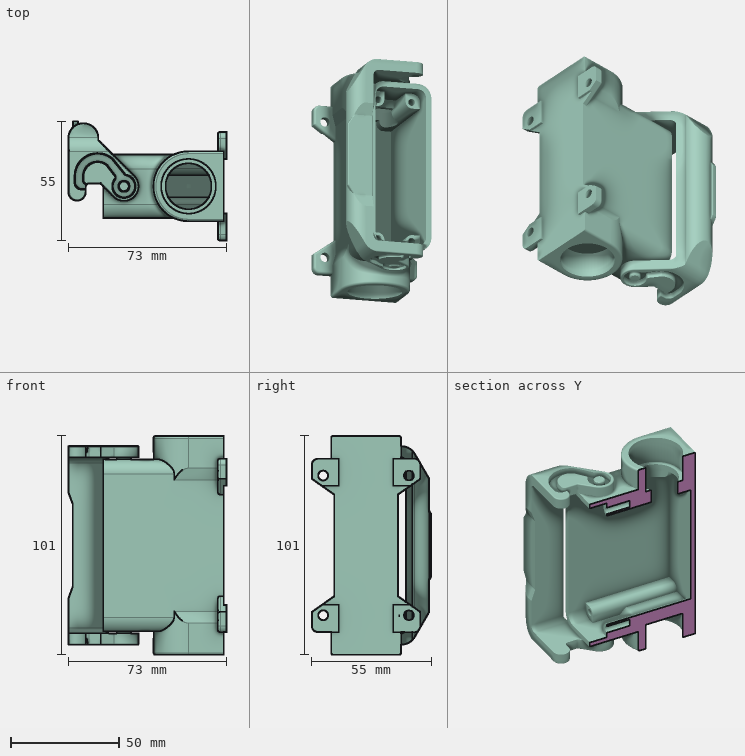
import cadquery as cq
import math


shell_front = 16.1
shell_back = 71.8
shell_half_width = 14.7
shell_half_height = 39.7
shell_corner = 6.6
wall = 2.5
cavity_half_width = shell_half_width - wall
cavity_half_height = shell_half_height - wall
cavity_back = shell_back - wall

port_x = 55.4
port_radius = 16.2
port_end = 50.5
port_foot = 30.3
port_flare_height = 5.5
port_edge_round = 1.0
bore_radius = 12.6
ledge_radius = 10.6
ledge_drop = 3.0
ledge_bottom = cavity_half_height - ledge_drop

boss_front = 25.0
boss_size = 7.1
boss_round = 3.2
screw_y = 8.1
screw_z = 33.0
screw_radius = 1.6
screw_depth = 12.1

foot_front = 69.0
foot_back = 73.0
foot_half_width = 25.0
foot_inner_y = 12.5
foot_top = 40.0
foot_corner = 2.8
foot_side_bottom = 30.7
foot_root_bottom = 23.4
foot_pad_bottom = 27.5
foot_edge_round = 1.0
foot_hole_y = 19.8
foot_hole_z = 32.2
foot_hole_radius = 2.2

lever_top = 45.9
lever_inner_z = 40.6
lever_inner_y = 18.4
lever_inner_round = 2.5
lever_bend_y = 16.1
lever_bend_radius = 7.5
lever_slope = math.radians(60)
bar_radius = 7.0
bar_y = 22.1
bar_end_y = bar_y + bar_radius
lever_edge_round = 0.5
hook_radius = 4.0
hook_width = 2 * hook_radius
hook_y = -2.6
notch_y = 1.2
notch_round = 1.4
pivot_x = 25.7
pivot_radius = 6.8

pin_radius = 2.6
pin_chamfer = 0.4
washer_radius = 3.3

recess_floor = 43.0
recess_pivot_radius = 5.5
recess_x = 13.5
recess_y = 4.6
recess_outer = 10.7
recess_inner = 6.5
recess_turn = math.radians(40)
recess_bottom = -1.5
recess_corner = 3.2
recess_draft = 7
recess_outer_end = (26.9, 4.8)
recess_inner_end = (21.6, 4.4)

grip_depth = 2.0
grip_half_flat = 19.0
grip_half_length = 24.5
grip_tab_thickness = 2.6
grip_tab_y = 30.0
grip_tab_half_top = 14.5
grip_tab_chamfer = 0.3

COS45 = math.sqrt(0.5)


def both_z(part):
    """The part together with its mirror image below z = 0."""
    return part.union(part.mirror("XY"))


def all_corners(part):
    """The part repeated in all four Y/Z quadrants."""
    return both_z(part.union(part.mirror("XZ")))


def rounded_prism(x0, x1, half_width, half_height, corner):
    prism = cq.Workplane("YZ", origin=(x0, 0, 0)).rect(2 * half_width, 2 * half_height).extrude(x1 - x0)
    return prism.edges("|X").fillet(corner)


def cylinder_z(x, y, radius, z0, z1):
    return cq.Workplane("XY", origin=(x, y, z0)).circle(radius).extrude(z1 - z0)


def port_body():
    """D-shaped port whose sides flare outwards from the shell walls."""
    body = (
        cq.Workplane("XY", origin=(0, 0, port_foot))
        .moveTo(shell_back, -port_radius)
        .lineTo(port_x, -port_radius)
        .threePointArc((port_x - port_radius, 0), (port_x, port_radius))
        .lineTo(shell_back, port_radius)
        .close()
        .extrude(port_end - port_foot)
    )
    body = body.faces(">Z").edges("not >X").fillet(port_edge_round)
    flare = (
        cq.Workplane("YZ")
        .polyline([
            (-shell_half_width, port_foot),
            (shell_half_width, port_foot),
            (port_radius, port_foot + port_flare_height),
            (port_radius, port_end),
            (-port_radius, port_end),
            (-port_radius, port_foot + port_flare_height),
        ])
        .close()
        .extrude(shell_back)
    )
    return body.intersect(flare)


def port_ledge():
    """Thickened wall inside the cavity below a port, with a sloping front."""
    ledge_start = port_x - port_radius
    return (
        cq.Workplane("XZ", origin=(0, cavity_half_width, 0))
        .polyline([
            (ledge_start, cavity_half_height),
            (ledge_start + ledge_drop, ledge_bottom),
            (cavity_back, ledge_bottom),
            (cavity_back, cavity_half_height),
        ])
        .close()
        .extrude(2 * cavity_half_width)
    )


def screw_boss():
    boss = (
        cq.Workplane("XY")
        .box(cavity_back - boss_front, boss_size, boss_size, centered=False)
        .translate((boss_front, cavity_half_width - boss_size, cavity_half_height - boss_size))
    )
    return boss.edges("|X and <Y and <Z").fillet(boss_round)


def housing():
    shell = rounded_prism(shell_front, shell_back, shell_half_width, shell_half_height, shell_corner)
    cavity_corner = shell_corner - wall
    cavity = rounded_prism(shell_front, cavity_back, cavity_half_width, cavity_half_height, cavity_corner)
    fittings = all_corners(screw_boss()).union(both_z(port_ledge()))
    body = shell.union(both_z(port_body())).cut(cavity).union(fittings.intersect(cavity))
    bore = cylinder_z(port_x, 0, bore_radius, cavity_half_height, port_end)
    ledge_hole = cylinder_z(port_x, 0, ledge_radius, cavity_half_height - boss_size, port_end)
    screw_hole = (
        cq.Workplane("YZ", origin=(boss_front, screw_y, screw_z))
        .circle(screw_radius)
        .extrude(screw_depth)
    )
    return body.cut(both_z(bore)).cut(ledge_hole).cut(all_corners(screw_hole))


def foot():
    plate = (
        cq.Workplane("YZ", origin=(foot_front, 0, 0))
        .polyline([
            (foot_inner_y, foot_top),
            (foot_half_width, foot_top),
            (foot_half_width, foot_side_bottom),
            (shell_half_width, foot_root_bottom),
            (foot_inner_y, foot_root_bottom),
        ])
        .close()
        .extrude(foot_back - foot_front)
    )
    plate = plate.edges("|X and >Y and >Z").fillet(foot_corner)
    plate = plate.faces("<X").edges("not <Y").edges("not <Z").fillet(foot_edge_round)
    step = (
        cq.Workplane("XY")
        .box(foot_back - shell_back, foot_half_width, foot_pad_bottom, centered=False)
        .translate((shell_back, 0, 0))
    )
    hole = (
        cq.Workplane("YZ", origin=(foot_front, foot_hole_y, foot_hole_z))
        .circle(foot_hole_radius)
        .extrude(foot_back - foot_front)
    )
    return plate.cut(step).cut(hole)


def lever_plan():
    """Lever outline in the XY plane, as a prism over the full lever height, with rounded ends."""
    reach = pivot_radius * COS45
    notch_corner_x = pivot_x - pivot_radius / COS45 - notch_y
    round_mid = notch_round * (1 - COS45)
    plan = (
        cq.Workplane("XY", origin=(0, 0, -lever_top))
        .moveTo(0, hook_y)
        .lineTo(0, bar_y)
        .threePointArc((bar_radius, bar_end_y), (2 * bar_radius, bar_y))
        .lineTo(2 * bar_radius, pivot_x + pivot_radius / COS45 - 2 * bar_radius)
        .lineTo(pivot_x + reach, reach)
        .threePointArc((pivot_x + reach, -reach), (pivot_x - reach, -reach))
        .lineTo(notch_corner_x, notch_y)
        .lineTo(hook_width + notch_round, notch_y)
        .threePointArc(
            (hook_width + round_mid, notch_y - round_mid),
            (hook_width, notch_y - notch_round),
        )
        .lineTo(hook_width, hook_y)
        .threePointArc((hook_radius, hook_y - hook_radius), (0, hook_y))
        .close()
        .extrude(2 * lever_top)
    )
    return plan.faces(">Z or <Z").edges().fillet(lever_edge_round)


def lever_bow():
    """U-shaped lever outline in the YZ plane, as a prism over the full lever width."""
    bend_z = lever_top - lever_bend_radius
    bend_end_y = lever_bend_y + lever_bend_radius * math.sin(lever_slope)
    bend_end_z = bend_z + lever_bend_radius * math.cos(lever_slope)
    clear_y = bar_end_y + lever_bend_radius
    slope_end_z = bend_end_z - (clear_y - bend_end_y) * math.tan(lever_slope)
    half_slope = lever_slope / 2
    bend_mid = (
        lever_bend_y + lever_bend_radius * math.sin(half_slope),
        bend_z + lever_bend_radius * math.cos(half_slope),
    )
    leg_end = -2 * pivot_radius
    width = pivot_x + 2 * pivot_radius
    outer = (
        cq.Workplane("YZ")
        .moveTo(leg_end, 0)
        .lineTo(leg_end, lever_top)
        .lineTo(lever_bend_y, lever_top)
        .threePointArc(bend_mid, (bend_end_y, bend_end_z))
        .lineTo(clear_y, slope_end_z)
        .lineTo(clear_y, 0)
        .close()
        .extrude(width)
    )
    gap = (
        cq.Workplane("YZ")
        .rect(2 * lever_inner_y, 2 * lever_inner_z)
        .extrude(width)
        .edges("|X and >Y")
        .fillet(lever_inner_round)
    )
    return both_z(outer).cut(gap)


def leg_recess():
    """Curved channel with drafted walls that runs from the hook notch to the round pivot pocket."""
    turn_x = math.sin(recess_turn)
    turn_y = math.cos(recess_turn)
    left = recess_x - recess_outer
    island = recess_x - recess_inner
    open_end = hook_width + notch_round
    round_mid = notch_round * (1 - COS45)
    depth = lever_top - recess_floor
    corner_mid = recess_corner * (1 - COS45)
    channel = (
        cq.Workplane("XY", origin=(0, 0, lever_top))
        .moveTo(open_end, recess_bottom)
        .lineTo(left + recess_corner, recess_bottom)
        .threePointArc(
            (left + corner_mid, recess_bottom + corner_mid),
            (left, recess_bottom + recess_corner),
        )
        .lineTo(left, recess_y)
        .threePointArc(
            (recess_x - recess_outer * COS45, recess_y + recess_outer * COS45),
            (recess_x + recess_outer * turn_x, recess_y + recess_outer * turn_y),
        )
        .lineTo(*recess_outer_end)
        .lineTo(recess_outer_end[0], 0)
        .lineTo(recess_inner_end[0], 0)
        .lineTo(*recess_inner_end)
        .lineTo(recess_x + recess_inner * turn_x, recess_y + recess_inner * turn_y)
        .threePointArc(
            (recess_x - recess_inner * COS45, recess_y + recess_inner * COS45),
            (island, recess_y),
        )
        .lineTo(island, notch_y + notch_round)
        .threePointArc((island + round_mid, notch_y + round_mid), (island + notch_round, notch_y))
        .lineTo(open_end, notch_y)
        .close()
        .extrude(-depth, taper=recess_draft)
    )
    pocket = (
        cq.Workplane("XY", origin=(pivot_x, 0, lever_top))
        .circle(recess_pivot_radius)
        .extrude(-depth, taper=recess_draft)
    )
    return channel.union(pocket)


def grip_cut():
    """Shallow scoop with sloping ends in the -X face of the bar."""
    return (
        cq.Workplane("XZ", origin=(0, bar_end_y, 0))
        .polyline([
            (0, -grip_half_length),
            (grip_depth, -grip_half_flat),
            (grip_depth, grip_half_flat),
            (0, grip_half_length),
        ])
        .close()
        .extrude(bar_end_y)
    )


def grip_tab():
    """Thin tab with sloping ends that rises out of the rounded bar."""
    tab = (
        cq.Workplane("YZ", origin=(grip_depth, 0, 0))
        .polyline([
            (bar_y, -grip_half_flat),
            (bar_y + bar_radius * COS45, -grip_half_flat),
            (grip_tab_y, -grip_tab_half_top),
            (grip_tab_y, grip_tab_half_top),
            (bar_y + bar_radius * COS45, grip_half_flat),
            (bar_y, grip_half_flat),
        ])
        .close()
        .extrude(grip_tab_thickness)
    )
    return tab.faces("<X or >X").chamfer(grip_tab_chamfer)


def lever():
    body = lever_plan().intersect(lever_bow())
    return body.cut(both_z(leg_recess())).cut(grip_cut()).union(grip_tab())


def hinge_pin():
    washer = cylinder_z(pivot_x, 0, washer_radius, shell_half_height, lever_inner_z)
    pin = cylinder_z(pivot_x, 0, pin_radius, recess_floor, lever_top).faces(">Z").chamfer(pin_chamfer)
    return washer.union(pin)


result = housing().union(all_corners(foot())).union(lever()).union(both_z(hinge_pin()))